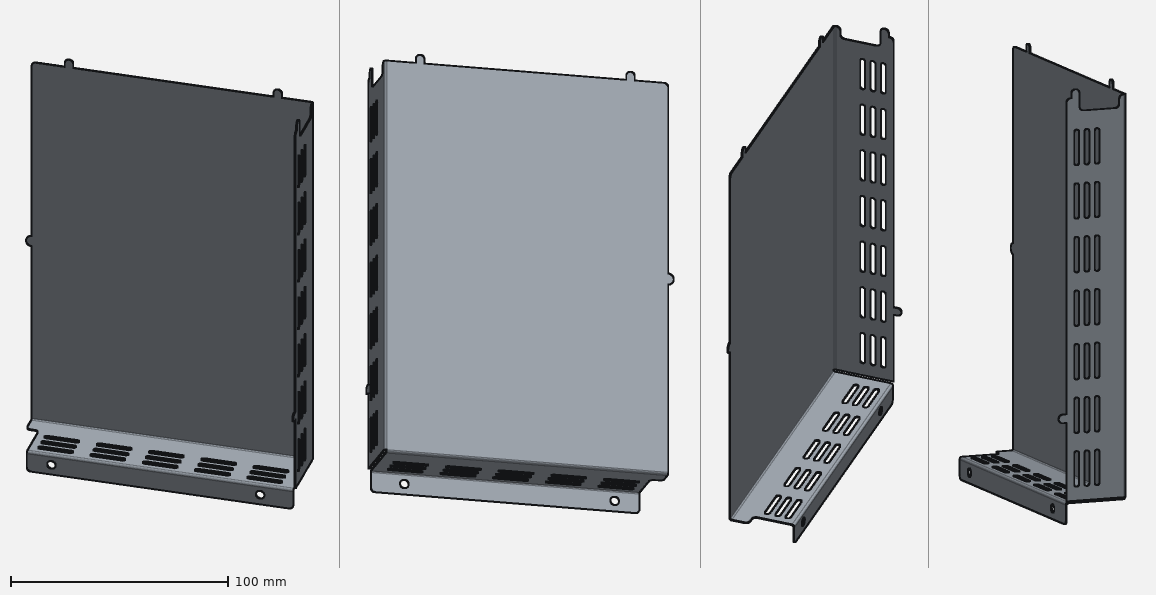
import cadquery as cq
import math

sheet = 0.6
bend_inner = 0.6
bend_outer = sheet + bend_inner

width = 135.0
depth = 29.7
plate_top = 199.5
floor_bottom = 10.0
floor_gap = 0.6
floor_end = width - sheet - floor_gap
bend_x = width - bend_outer
bend_z = floor_bottom + bend_outer
lip_bend_z = floor_bottom + sheet - bend_outer
lip_bend_y = bend_outer - depth

corner_round = 2.0

step_width = 6.1
step_depth = 9.5

notch_start = 3.5
notch_end = 23.2
notch_bottom = 193.5

tab_width = 4.0
top_tab_reach = 4.0
front_tab_reach = 3.9
wall_tab_z = 49.9
edge_tab_radius = 2.6
edge_tab_z = (floor_bottom + plate_top) / 2

hole_diameter = 4.0
hole_z = 5.0
hole_xs = (18.0, 117.9)

slot_length = 16.7
slot_width = 2.5
slot_pitch = 25.0
row_depths = (14.5, 19.5, 24.6)
floor_groups = 5
floor_slots_mid_x = 68.6
wall_groups = 7
wall_slots_mid_z = 101.2


def block(x_range, y_range, z_range):
    """Box between the given limits."""
    sizes = [high - low for low, high in (x_range, y_range, z_range)]
    corner = (x_range[0], y_range[0], z_range[0])
    return cq.Workplane("XY").box(*sizes, centered=False).translate(corner)


def bend(plane, center, x_sign, y_sign, length):
    """Quarter ring around center, in the quadrant of the plane given by the signs."""
    diagonal = math.sqrt(0.5)

    def at(radius, u, v):
        return (x_sign * radius * u, y_sign * radius * v)

    return (
        cq.Workplane(plane, origin=center)
        .moveTo(*at(bend_inner, 1, 0))
        .lineTo(*at(bend_outer, 1, 0))
        .threePointArc(at(bend_outer, diagonal, diagonal), at(bend_outer, 0, 1))
        .lineTo(*at(bend_inner, 0, 1))
        .threePointArc(at(bend_inner, diagonal, diagonal), at(bend_inner, 1, 0))
        .close()
        .extrude(length)
    )


def round_corner(body, point):
    """Round the through-thickness edge nearest to point."""
    return body.edges(cq.selectors.NearestToPointSelector(point)).fillet(corner_round)


def tab(plane, origin, reach, turn=0):
    """Round-ended tab on an edge at origin, standing along the turned plane's y axis."""
    straight = reach - tab_width / 2
    half = tab_width / 2
    return (
        cq.Workplane(plane, origin=origin)
        .transformed(rotate=(0, 0, turn))
        .moveTo(-half, -tab_width)
        .lineTo(-half, straight)
        .threePointArc((0, reach), (half, straight))
        .lineTo(half, -tab_width)
        .close()
        .extrude(-sheet)
    )


def group_centers(middle, count):
    """Positions of evenly spaced slot groups about the middle."""
    return [middle + (i - (count - 1) / 2) * slot_pitch for i in range(count)]


def back_plate():
    plate = block((0, bend_x), (-sheet, 0), (bend_z, plate_top))
    plate = round_corner(plate, (0, -sheet / 2, plate_top))
    for x in hole_xs:
        plate = plate.union(tab("XZ", (x, -sheet, plate_top), top_tab_reach))
    edge_tab = (
        cq.Workplane("XZ", origin=(0, 0, edge_tab_z)).circle(edge_tab_radius).extrude(sheet)
    )
    return plate.union(edge_tab)


def floor_and_lip():
    floor = block((0, floor_end), (lip_bend_y, -bend_outer), (floor_bottom, floor_bottom + sheet))
    step = block((0, step_width), (-depth, -step_depth), (floor_bottom, bend_z))
    floor = floor.cut(step)
    mid_z = floor_bottom + sheet / 2
    floor = round_corner(floor, (0, -step_depth, mid_z))
    floor = round_corner(floor, (step_width, -step_depth, mid_z))
    group_xs = group_centers(floor_slots_mid_x, floor_groups)
    slots = (
        cq.Workplane("XY", origin=(0, 0, floor_bottom))
        .pushPoints([(x, -row) for x in group_xs for row in row_depths])
        .slot2D(slot_length, slot_width)
        .extrude(sheet)
    )
    floor = floor.cut(slots)

    lip = block((step_width, floor_end), (-depth, sheet - depth), (0, lip_bend_z))
    for x in (step_width, floor_end):
        lip = round_corner(lip, (x, sheet / 2 - depth, 0))
    holes = (
        cq.Workplane("XZ", origin=(0, sheet - depth, 0))
        .pushPoints([(x, hole_z) for x in hole_xs])
        .circle(hole_diameter / 2)
        .extrude(sheet)
    )
    lip = lip.cut(holes)

    rear_bend = bend("YZ", (0, -bend_outer, bend_z), 1, -1, floor_end)
    lip_bend = bend("YZ", (step_width, lip_bend_y, lip_bend_z), -1, 1, floor_end - step_width)
    return floor.union(rear_bend).union(lip_bend).union(lip)


def side_wall():
    wall_x = (width - sheet, width)
    mid_x = width - sheet / 2
    wall = block(wall_x, (-depth, -bend_outer), (bend_z, plate_top))
    wall = wall.cut(block(wall_x, (-notch_end, -notch_start), (notch_bottom, plate_top)))
    wall = round_corner(wall, (mid_x, -notch_start, plate_top))
    wall = round_corner(wall, (mid_x, -depth, plate_top))
    for y in (notch_start, notch_end):
        wall = round_corner(wall, (mid_x, -y, notch_bottom))
    wall = wall.union(tab("YZ", (width, -notch_end - tab_width / 2, plate_top), top_tab_reach))
    wall = wall.union(tab("YZ", (width, -depth, wall_tab_z), front_tab_reach, 90))
    group_zs = group_centers(wall_slots_mid_z, wall_groups)
    slots = (
        cq.Workplane("YZ", origin=(width - sheet, 0, 0))
        .pushPoints([(-row, z) for z in group_zs for row in row_depths])
        .slot2D(slot_length, slot_width, 90)
        .extrude(sheet)
    )
    wall_bend = bend("XY", (bend_x, -bend_outer, bend_z), 1, 1, plate_top - bend_z)
    return wall.cut(slots).union(wall_bend)


result = back_plate().union(floor_and_lip()).union(side_wall())